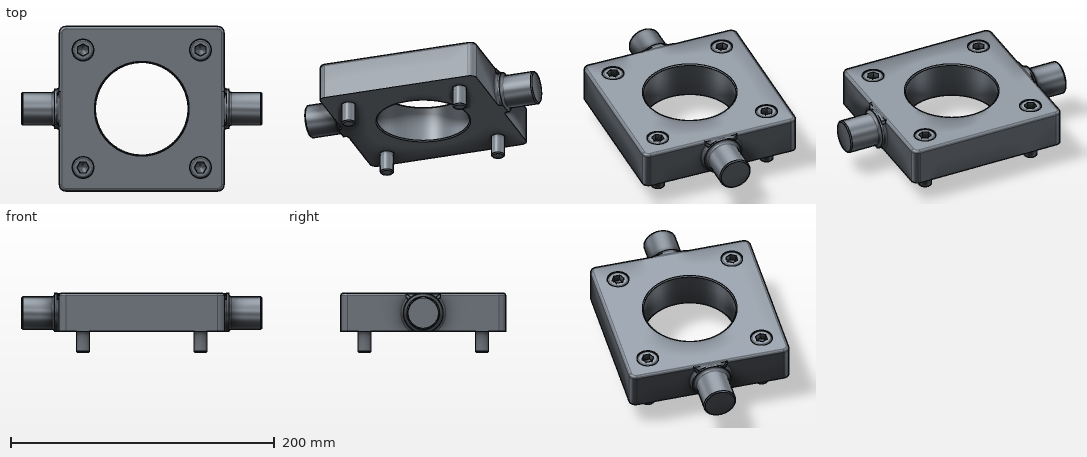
import cadquery as cq
import math

plate_side = 125.0
plate_height = 29.0
corner_radius = 5.1
top_edge_radius = 2.0
bore_diameter = 70.0
bore_chamfer = 1.0

overall_length = 182.0
trunnion_axis_height = 13.8
journal_diameter = 25.0
journal_end_chamfer = 1.0
journal_fillet = 2.0
collar_radius = 15.1
collar_reach = 3.5
collar_fillet = 1.8

bridge_width = 26.2
bridge_drop = 0.5
bridge_half_angle = 48.0
bridge_corner_angle = 38.0

screw_spacing = 89.0
counterbore_diameter = 16.5
clearance_diameter = 10.5
shank_diameter = 10.0
head_diameter = 16.0
head_height = 10.0
head_edge_fillet = 1.1
shank_projection = 16.0
shank_end_chamfer = 1.0
socket_width = 8.0
socket_depth = 5.0
socket_tip_angle = 120.0

half_side = plate_side / 2
half_length = overall_length / 2
flare_radius = collar_radius + collar_fillet
flare_end = half_side + collar_fillet
bridge_height = plate_height - bridge_drop
screw_offset = screw_spacing / 2
head_seat_height = plate_height - head_height
screw_positions = [
    (x_sign * screw_offset, y_sign * screw_offset) for x_sign in (-1, 1) for y_sign in (-1, 1)
]


def make_plate():
    plate = cq.Workplane("XY").box(plate_side, plate_side, plate_height, centered=(True, True, False))
    return plate.edges("|Z").fillet(corner_radius).faces(">Z").edges().fillet(top_edge_radius)


def collar_point(angle):
    """Y and Z of the point of the collar's rim at an angle in degrees from straight up."""
    return (
        collar_radius * math.sin(math.radians(angle)),
        trunnion_axis_height + collar_radius * math.cos(math.radians(angle)),
    )


def make_journal_and_collar():
    """The +X journal and collar, cut level with the plate top and bottom."""
    journal_radius = journal_diameter / 2
    collar_face = half_side + collar_reach
    turned = (
        cq.Workplane("XZ")
        .moveTo(half_side, 0)
        .lineTo(half_length, 0)
        .lineTo(half_length, journal_radius - journal_end_chamfer)
        .lineTo(half_length - journal_end_chamfer, journal_radius)
        .lineTo(collar_face + journal_fillet, journal_radius)
        .radiusArc((collar_face, journal_radius + journal_fillet), journal_fillet)
        .lineTo(collar_face, collar_radius)
        .lineTo(flare_end, collar_radius)
        .radiusArc((half_side, flare_radius), collar_fillet)
        .close()
        .revolve(360, (0, 0, 0), (1, 0, 0))
        .translate((0, 0, trunnion_axis_height))
    )

    trim = (
        cq.Workplane("XZ")
        .moveTo(half_side, 0)
        .lineTo(half_length, 0)
        .lineTo(half_length, plate_height)
        .lineTo(flare_end, plate_height)
        .lineTo(flare_end, bridge_height)
        .lineTo(half_side, bridge_height)
        .close()
        .extrude(flare_radius, both=True)
    )
    return turned.intersect(trim)


def make_bridge():
    """The fill over the +X edge rounding and the blend from it to the top of the collar."""
    half_width = bridge_width / 2
    root = half_side - top_edge_radius
    edge_fill = (
        cq.Workplane("XZ")
        .moveTo(root, plate_height)
        .lineTo(half_side, bridge_height)
        .lineTo(half_side, plate_height - top_edge_radius)
        .lineTo(root, plate_height - top_edge_radius)
        .close()
        .extrude(half_width, both=True)
    )

    low_height = trunnion_axis_height + half_width / math.tan(math.radians(bridge_half_angle))
    middle_angle = (bridge_half_angle + bridge_corner_angle) / 2
    blend = (
        cq.Workplane("YZ", origin=(half_side, 0, 0))
        .moveTo(0, trunnion_axis_height)
        .lineTo(-half_width, low_height)
        .lineTo(-half_width, bridge_height)
        .lineTo(half_width, bridge_height)
        .lineTo(half_width, low_height)
        .close()
        .workplane(offset=collar_fillet)
        .moveTo(0, trunnion_axis_height)
        .lineTo(*collar_point(-bridge_half_angle))
        .threePointArc(collar_point(-middle_angle), collar_point(-bridge_corner_angle))
        .threePointArc(collar_point(0), collar_point(bridge_corner_angle))
        .threePointArc(collar_point(middle_angle), collar_point(bridge_half_angle))
        .close()
        .loft(ruled=True)
    )
    return edge_fill.union(blend)


def make_housing():
    trunnion = make_journal_and_collar().union(make_bridge())
    housing = make_plate().union(trunnion).union(trunnion.mirror("YZ"))

    bore_radius = bore_diameter / 2
    mouth_radius = bore_radius + bore_chamfer
    bore = (
        cq.Workplane("XZ")
        .lineTo(mouth_radius, 0)
        .lineTo(bore_radius, bore_chamfer)
        .lineTo(bore_radius, plate_height - bore_chamfer)
        .lineTo(mouth_radius, plate_height)
        .lineTo(0, plate_height)
        .close()
        .revolve(360, (0, 0, 0), (0, 1, 0))
    )
    clearance_holes = (
        cq.Workplane("XY").pushPoints(screw_positions).circle(clearance_diameter / 2).extrude(plate_height)
    )
    counterbores = (
        cq.Workplane("XY", origin=(0, 0, head_seat_height))
        .pushPoints(screw_positions)
        .circle(counterbore_diameter / 2)
        .extrude(plate_height - head_seat_height)
    )
    return housing.cut(bore).cut(clearance_holes).cut(counterbores)


def make_screw(x, y):
    """A flush socket head screw. The socket corners lie along Y on the +Y side and along X on the -Y side."""
    socket_turn = 90 if y > 0 else 0
    head = (
        cq.Workplane("XY", origin=(0, 0, head_seat_height))
        .circle(head_diameter / 2)
        .extrude(head_height)
        .faces(">Z")
        .edges()
        .fillet(head_edge_fillet)
    )
    shank = (
        cq.Workplane("XY", origin=(0, 0, -shank_projection))
        .circle(shank_diameter / 2)
        .extrude(shank_projection + head_seat_height)
        .faces("<Z")
        .chamfer(shank_end_chamfer)
    )

    corner_distance = socket_width / 2 / math.cos(math.pi / 6)
    tip_depth = corner_distance / math.tan(math.radians(socket_tip_angle / 2))
    socket = (
        cq.Workplane("XY", origin=(0, 0, plate_height))
        .transformed(rotate=(0, 0, socket_turn))
        .polygon(6, 2 * corner_distance)
        .extrude(-socket_depth - tip_depth)
    )
    socket_limit = (
        cq.Workplane("XZ")
        .moveTo(0, plate_height)
        .lineTo(corner_distance, plate_height)
        .lineTo(corner_distance, plate_height - socket_depth)
        .lineTo(0, plate_height - socket_depth - tip_depth)
        .close()
        .revolve(360, (0, 0, 0), (0, 1, 0))
    )
    return head.union(shank).cut(socket.intersect(socket_limit)).translate((x, y, 0))


housing = make_housing()
screws = [make_screw(x, y) for x, y in screw_positions]

result = cq.Compound.makeCompound([housing.val(), *[screw.val() for screw in screws]])